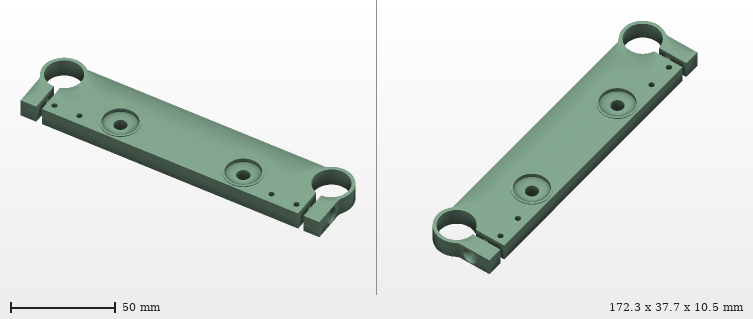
import cadquery as cq
import math

plate_height = 10.0
body_width = 34.6

overall_length = 172.3
ring_radius = 11.5
bore_radius = 9.6
ring_x = overall_length / 2 - ring_radius
ring_y = 26.2

slot_width = 3.1
lug_outer_x = 83.4
lug_blend_radius = 5.0

screw_y = 11.5
screw_z = plate_height / 2
screw_clearance_radius = 2.4
screw_tap_radius = 2.0
screw_tap_depth = 10.3
drill_tip_angle = 118.0
screw_head_radius = 4.3
screw_head_depth = 6.0

seat_x = 34.3
seat_y = 11.2
rim_radius = 10.2
rim_height = 0.5
seat_radius = 9.1
seat_depth = 1.7
seat_hole_radius = 3.5

pin_positions_x = (53.6, 67.5)
pin_y = 5.2
pin_radius = 1.5


def both_sides(*distances):
    """Mirror X distances about the middle of the plate."""
    return [side * distance for side in (-1, 1) for distance in distances]


def cylinder_up(x, y, radius, bottom, top):
    return cq.Workplane("XY", origin=(x, y, bottom)).circle(radius).extrude(top - bottom)


def cylinder_along_x(start, length, radius):
    """Cylinder on the clamp screw axis, running towards +X."""
    return cq.Workplane("YZ", origin=(start, screw_y, screw_z)).circle(radius).extrude(length)


def lug_blend():
    """Concave fillet filler between the left ring and its lug."""
    center_x = -lug_outer_x - lug_blend_radius
    center_distance = ring_radius + lug_blend_radius
    drop = math.sqrt(center_distance**2 - (center_x + ring_x) ** 2)
    center_y = ring_y - drop
    ring_share = ring_radius / center_distance
    ring_tangent = (-ring_x + (center_x + ring_x) * ring_share, ring_y - drop * ring_share)
    half_angle = math.atan2(ring_tangent[1] - center_y, ring_tangent[0] - center_x) / 2
    arc_middle = (
        center_x + lug_blend_radius * math.cos(half_angle),
        center_y + lug_blend_radius * math.sin(half_angle),
    )
    return (
        cq.Workplane("XY")
        .moveTo(-lug_outer_x, center_y)
        .threePointArc(arc_middle, ring_tangent)
        .lineTo(-ring_x, ring_y)
        .lineTo(-ring_x, center_y)
        .close()
        .extrude(plate_height)
    )


def left_clamp_cutter():
    """Bore, slot and stepped screw hole of the left clamp."""
    bore = cylinder_up(-ring_x, ring_y, bore_radius, 0, plate_height)
    slot = cq.Workplane("XY").box(slot_width, ring_y, plate_height, centered=False)
    slot = slot.translate((-ring_x, 0, 0))
    head = cylinder_along_x(-lug_outer_x, screw_head_depth, screw_head_radius)
    clearance = cylinder_along_x(-lug_outer_x, lug_outer_x - ring_x, screw_clearance_radius)
    tap = cylinder_along_x(-ring_x, slot_width + screw_tap_depth, screw_tap_radius)
    tip_length = screw_tap_radius / math.tan(math.radians(drill_tip_angle / 2))
    tip_base = cq.Vector(-ring_x + slot_width + screw_tap_depth, screw_y, screw_z)
    tip = cq.Workplane(cq.Solid.makeCone(screw_tap_radius, 0, tip_length, tip_base, cq.Vector(1, 0, 0)))
    return bore.union(slot).union(head).union(clearance).union(tap).union(tip)


plate = cq.Workplane("XY").box(2 * ring_x, body_width, plate_height, centered=(True, False, False))
lugs = cq.Workplane("XY").box(2 * lug_outer_x, ring_y, plate_height, centered=(True, False, False))
result = plate.union(lugs)

for x in both_sides(ring_x):
    result = result.union(cylinder_up(x, ring_y, ring_radius, 0, plate_height))
blend = lug_blend()
result = result.union(blend).union(blend.mirror("YZ"))

cutter = left_clamp_cutter()
result = result.cut(cutter).cut(cutter.mirror("YZ"))

rim_top = plate_height + rim_height
for x in both_sides(seat_x):
    result = result.union(cylinder_up(x, seat_y, rim_radius, plate_height, rim_top))
    result = result.cut(cylinder_up(x, seat_y, seat_radius, plate_height - seat_depth, rim_top))
    result = result.cut(cylinder_up(x, seat_y, seat_hole_radius, 0, plate_height))

for x in both_sides(*pin_positions_x):
    result = result.cut(cylinder_up(x, pin_y, pin_radius, 0, plate_height))